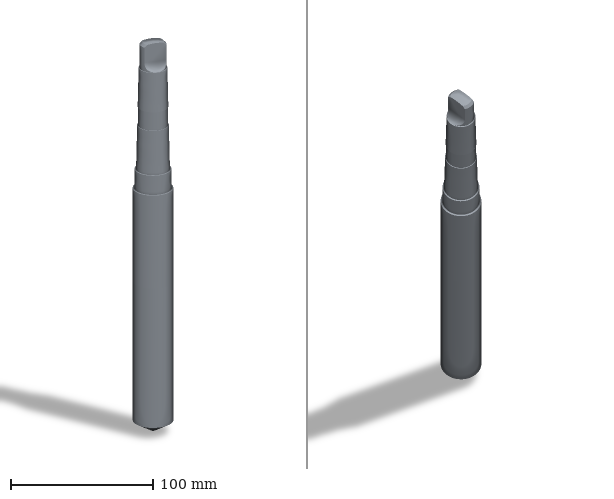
import cadquery as cq
import math

TOTAL_LENGTH = 298.5
BODY_RADIUS = 28.7 / 2

POINT_ANGLE = 118.0
POINT_HEIGHT = BODY_RADIUS / math.tan(math.radians(POINT_ANGLE / 2))
DRILL_TOP = 115.0

BODY_TOP = 186.0
COLLAR_TOP = 200.5
RELIEF_BOTTOM = 234.0
RELIEF_TOP = 248.0
TANG_BOTTOM = 278.0

COLLAR_RADIUS = 26.0 / 2
RELIEF_RADIUS = 21.2 / 2
TAPER_BASE_RADIUS = 24.0 / 2
TAPER_RATIO = 0.047

TANG_RADIUS = 18.8 / 2
TANG_THICKNESS = 9.3
TANG_TURN = 4.0
RIM_CHAMFER = 1.8
DOME_RADIUS = 35.8
DOME_EDGE_RADIUS = TANG_RADIUS - RIM_CHAMFER
DOME_HEIGHT = DOME_RADIUS - math.sqrt(DOME_RADIUS**2 - DOME_EDGE_RADIUS**2)
FLAT_BOTTOM = 284.0
RUNOUT_DEPTH = TANG_RADIUS - TANG_THICKNESS / 2
RUNOUT_HEIGHT = FLAT_BOTTOM - TANG_BOTTOM
RUNOUT_RADIUS = (RUNOUT_DEPTH**2 + RUNOUT_HEIGHT**2) / (2 * RUNOUT_DEPTH)


def taper_radius(z):
    """Radius of the long shank taper at height z."""
    return TAPER_BASE_RADIUS - (z - COLLAR_TOP) * TAPER_RATIO / 2


def revolve_profile(points):
    """Turn a closed (radius, height) outline around the Z axis."""
    return cq.Workplane("XZ").polyline(points).close().revolve(360, (0, 0), (0, 1))


def make_drill():
    return revolve_profile([
        (0, 0),
        (BODY_RADIUS, POINT_HEIGHT),
        (BODY_RADIUS, DRILL_TOP),
        (0, DRILL_TOP),
    ])


def make_flat_cutter():
    """Material removed beside the +X flat of the tang, run-out arc included."""
    flat_x = TANG_THICKNESS / 2
    arc_angle = math.asin(RUNOUT_HEIGHT / RUNOUT_RADIUS) / 2
    arc_middle = (
        flat_x + RUNOUT_RADIUS * (1 - math.cos(arc_angle)),
        FLAT_BOTTOM - RUNOUT_RADIUS * math.sin(arc_angle),
    )
    return (
        cq.Workplane("XZ")
        .moveTo(flat_x, TOTAL_LENGTH)
        .lineTo(flat_x, FLAT_BOTTOM)
        .threePointArc(arc_middle, (TANG_RADIUS, TANG_BOTTOM))
        .lineTo(BODY_RADIUS, TANG_BOTTOM)
        .lineTo(BODY_RADIUS, TOTAL_LENGTH)
        .close()
        .extrude(BODY_RADIUS, both=True)
    )


def make_tang_blank():
    """Round tang with a chamfered rim and a shallow spherical end, before its flats are cut."""
    half_angle = math.asin(DOME_EDGE_RADIUS / DOME_RADIUS) / 2
    dome_middle = (
        DOME_RADIUS * math.sin(half_angle),
        TOTAL_LENGTH - DOME_RADIUS * (1 - math.cos(half_angle)),
    )
    dome_bottom = TOTAL_LENGTH - DOME_HEIGHT
    return (
        cq.Workplane("XZ")
        .moveTo(0, TANG_BOTTOM)
        .lineTo(TANG_RADIUS, TANG_BOTTOM)
        .lineTo(TANG_RADIUS, dome_bottom - RIM_CHAMFER)
        .lineTo(DOME_EDGE_RADIUS, dome_bottom)
        .threePointArc(dome_middle, (0, TOTAL_LENGTH))
        .close()
        .revolve(360, (0, 0), (0, 1))
    )


def make_tang():
    cutter = make_flat_cutter()
    tang = make_tang_blank().cut(cutter).cut(cutter.mirror("YZ"))
    return tang.rotate((0, 0, 0), (0, 0, 1), TANG_TURN)


def make_shank():
    stem = revolve_profile([
        (0, DRILL_TOP),
        (BODY_RADIUS, DRILL_TOP),
        (BODY_RADIUS, BODY_TOP),
        (COLLAR_RADIUS, BODY_TOP),
        (COLLAR_RADIUS, COLLAR_TOP),
        (TAPER_BASE_RADIUS, COLLAR_TOP),
        (taper_radius(RELIEF_BOTTOM), RELIEF_BOTTOM),
        (RELIEF_RADIUS, RELIEF_BOTTOM),
        (RELIEF_RADIUS, RELIEF_TOP),
        (taper_radius(RELIEF_TOP), RELIEF_TOP),
        (taper_radius(TANG_BOTTOM), TANG_BOTTOM),
        (0, TANG_BOTTOM),
    ])
    return stem.union(make_tang())


drill = make_drill()
shank = make_shank()

result = cq.Compound.makeCompound([drill.val(), shank.val()])